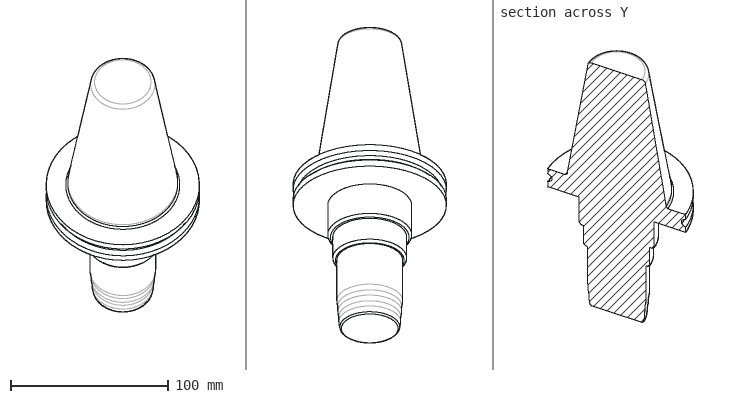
import cadquery as cq

total_height = 211.8
gauge_height = 110.1
flange_top = 107.0
flange_thickness = 15.9
flange_bottom = flange_top - flange_thickness
collar_bottom = 67.5
shoulder_bottom = 50.5

gauge_radius = 35.0
taper_slope = 7 / 48
taper_end_radius = gauge_radius - taper_slope * (total_height - gauge_height)
taper_end_round = 2.5

flare_radius = 36.2
flare_height = flare_radius - gauge_radius

flange_radius = 48.7
groove_root_radius = 46.0
groove_width = 7.0
groove_root_width = 2.8
groove_middle = 99.0

collar_radius = 26.7
collar_chamfer = 1.7
shoulder_radius = 23.5
shoulder_chamfer = 1.7
shank_radius = 21.0

nose_height = 20.3
nose_bands = 5
nose_end_radius = 19.0
nose_chamfer = 1.0
nose_cones = (nose_bands + 1) // 2
cone_widening = (shank_radius - nose_end_radius) / nose_cones
band_height = (nose_height - nose_chamfer) / nose_bands


def nose_points():
    """Corners of the nose from its end chamfer up to the straight shank."""
    points = []
    for band in range(nose_bands + 1):
        height = nose_chamfer + band * band_height
        cones_below = (band + 1) // 2
        radius = nose_end_radius + cones_below * cone_widening
        points.append((radius, height))
    return points


def stepped_shank_points():
    """Corners of the two chamfered steps between the nose and the flange."""
    return [
        (shank_radius, shoulder_bottom),
        (shoulder_radius - shoulder_chamfer, shoulder_bottom),
        (shoulder_radius, shoulder_bottom + shoulder_chamfer),
        (shoulder_radius, collar_bottom),
        (collar_radius - collar_chamfer, collar_bottom),
        (collar_radius, collar_bottom + collar_chamfer),
        (collar_radius, flange_bottom),
    ]


def flange_points():
    """Corners of the grooved flange, ending at the foot of the flare."""
    return [
        (flange_radius, flange_bottom),
        (flange_radius, groove_middle - groove_width / 2),
        (groove_root_radius, groove_middle - groove_root_width / 2),
        (groove_root_radius, groove_middle + groove_root_width / 2),
        (flange_radius, groove_middle + groove_width / 2),
        (flange_radius, flange_top),
        (flare_radius, flange_top),
    ]


def taper_points():
    """Corners of the taper, from the flare to its small end."""
    return [
        (gauge_radius, flange_top + flare_height),
        (gauge_radius, gauge_height),
        (taper_end_radius, total_height),
        (0, total_height),
    ]


profile = [(0, 0), (nose_end_radius - nose_chamfer, 0)]
profile += nose_points() + stepped_shank_points() + flange_points() + taper_points()

body = cq.Workplane("XZ").polyline(profile).close().revolve(360, (0, 0, 0), (0, 1, 0))
result = body.faces(">Z").edges().fillet(taper_end_round)